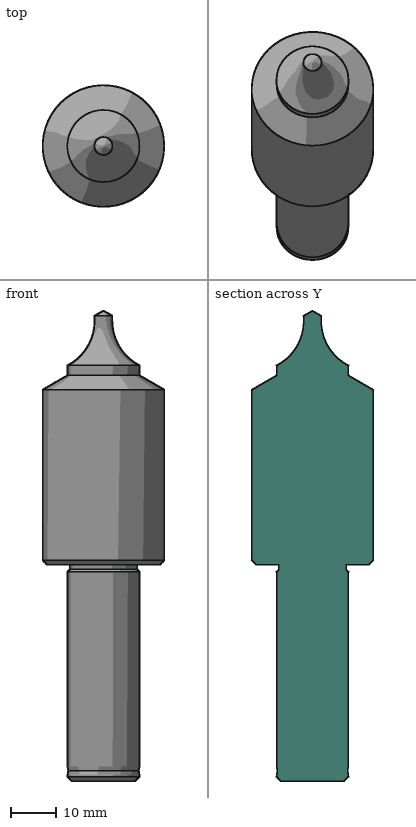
import cadquery as cq
import math

shank_radius = 8.0
shank_length = 48.0
end_chamfer = 1.0
ring_groove_bottom = 1.5
ring_groove_width = 1.8
ring_groove_depth = 0.16

neck_radius = 7.5
neck_length = 1.0
neck_chamfer = shank_radius - neck_radius

body_radius = 13.5
body_chamfer = 1.0
shoulder_slope = math.radians(30)
shoulder_height = (body_radius - shank_radius) * math.tan(shoulder_slope)

overall_length = 104.4
collar_radius = shank_radius
collar_height = 2.2
tip_radius = 2.0
tip_slope = math.radians(30)
tip_cone_height = tip_radius * math.tan(tip_slope)
tip_land = 1.2
flare_radius = 11.0

ring_groove_top = ring_groove_bottom + ring_groove_width
ring_groove_middle = ring_groove_bottom + ring_groove_width / 2
neck_bottom = shank_length - neck_length
tip_land_top = overall_length - tip_cone_height
flare_top = tip_land_top - tip_land
flare_centre = tip_radius + flare_radius
flare_end_angle = math.acos((flare_centre - collar_radius) / flare_radius)
collar_top = flare_top - flare_radius * math.sin(flare_end_angle)
collar_bottom = collar_top - collar_height
body_top = collar_bottom - shoulder_height


def flare_point(angle):
    """Point on the concave flare, at an angle below its tangent to the tip."""
    radius = flare_centre - flare_radius * math.cos(angle)
    level = flare_top - flare_radius * math.sin(angle)
    return radius, level


def turned_body():
    """Revolve the half profile about the Z axis."""
    profile = (
        cq.Workplane("XZ")
        .moveTo(0, 0)
        .lineTo(shank_radius - end_chamfer, 0)
        .lineTo(shank_radius, end_chamfer)
        .lineTo(shank_radius, neck_bottom - neck_chamfer)
        .lineTo(neck_radius, neck_bottom)
        .lineTo(neck_radius, shank_length)
        .lineTo(body_radius - body_chamfer, shank_length)
        .lineTo(body_radius, shank_length + body_chamfer)
        .lineTo(body_radius, body_top)
        .lineTo(collar_radius, collar_bottom)
        .lineTo(collar_radius, collar_top)
        .threePointArc(flare_point(flare_end_angle / 2), (tip_radius, flare_top))
        .lineTo(tip_radius, tip_land_top)
        .lineTo(0, overall_length)
        .close()
    )
    return profile.revolve(360, (0, 0), (0, 1))


def ring_groove():
    """Shallow V groove around the lower end of the shank."""
    return (
        cq.Workplane("XZ")
        .moveTo(shank_radius, ring_groove_bottom)
        .lineTo(shank_radius, ring_groove_top)
        .lineTo(shank_radius - ring_groove_depth, ring_groove_middle)
        .close()
        .revolve(360, (0, 0), (0, 1))
    )


result = turned_body().cut(ring_groove())